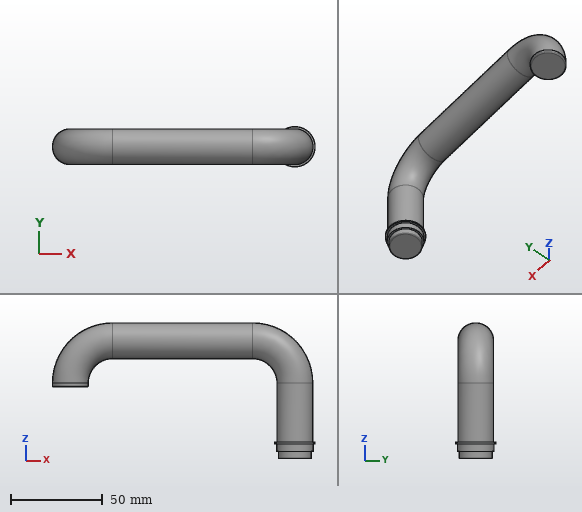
import cadquery as cq

tube_diameter = 19.6
bend_radius = 23.0
overall_length = 143.2
overall_height = 74.0

outlet_length = 2.0
outlet_fillet = 0.6

flange_diameter = 22.0
flange_thickness = 1.0
sleeve_diameter = 20.0
sleeve_length = 4.0
spigot_diameter = 18.0
spigot_length = 4.0
spigot_fillet = 0.5

sleeve_bottom = spigot_length
flange_bottom = sleeve_bottom + sleeve_length
flange_top = flange_bottom + flange_thickness
tube_axis_height = overall_height - tube_diameter / 2
bend_end = tube_axis_height - bend_radius
leg_spacing = overall_length - (flange_diameter + tube_diameter) / 2
outlet_x = -leg_spacing


def disc(x, bottom, diameter, height):
    """Upright solid cylinder centred on Y = 0."""
    return cq.Workplane("XY", origin=(x, 0, bottom)).circle(diameter / 2).extrude(height)


def make_tube():
    """Long leg, quarter bend, straight run and free quarter bend."""
    path = (
        cq.Workplane("XZ")
        .moveTo(0, flange_top)
        .lineTo(0, bend_end)
        .radiusArc((-bend_radius, tube_axis_height), -bend_radius)
        .lineTo(outlet_x + bend_radius, tube_axis_height)
        .radiusArc((outlet_x, bend_end), -bend_radius)
    )
    profile = cq.Workplane("XY", origin=(0, 0, flange_top)).circle(tube_diameter / 2)
    return profile.sweep(path)


def make_outlet():
    """Short tip with a rounded lower rim."""
    tip = disc(outlet_x, bend_end - outlet_length, tube_diameter, outlet_length)
    return tip.faces("<Z").edges().fillet(outlet_fillet)


def make_collar():
    """Flange with a narrower sleeve under it."""
    flange = disc(0, flange_bottom, flange_diameter, flange_thickness)
    return flange.union(disc(0, sleeve_bottom, sleeve_diameter, sleeve_length))


def make_spigot():
    """Plain plug end with a rounded lower edge."""
    plug = disc(0, 0, spigot_diameter, spigot_length)
    return plug.faces("<Z").edges().fillet(spigot_fillet)


tube = make_tube()
outlet = make_outlet()
collar = make_collar()
spigot = make_spigot()

result = cq.Compound.makeCompound([tube.val(), outlet.val(), collar.val(), spigot.val()])